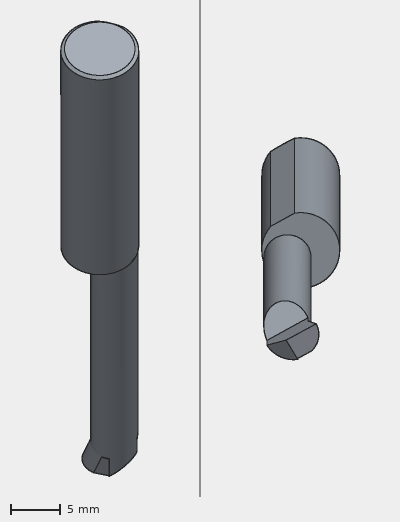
import cadquery as cq
import math

total_length = 63.5
shank_diameter = 7.95
shank_radius = shank_diameter / 2
shank_bottom = 33.0
shank_flat_depth = 0.25
chamfer_width = 0.4
chamfer_height = 0.25

neck_diameter = 4.8
neck_radius = neck_diameter / 2
neck_x = shank_radius - neck_radius

tip_top = 3.05
tip_lean = 0.95
tip_end_x = 1.7
tip_flat_offset = 0.09
rake_runout_top = 6.65
rake_runout_bottom = rake_runout_top - neck_radius

edge_rise = 0.1
relief_rise = 0.25
back_chamfer_top = edge_rise + shank_radius - tip_end_x

overrun = 3.2


def make_shank():
    """Round shank with a chamfered top and a narrow flat on its +Y side."""
    shank = (
        cq.Workplane("XY", origin=(0, 0, shank_bottom))
        .circle(shank_radius)
        .extrude(total_length - shank_bottom)
        .faces(">Z")
        .chamfer(chamfer_height, chamfer_width)
    )
    flat_cutter = (
        cq.Workplane("XY", origin=(0, shank_radius - shank_flat_depth, shank_bottom))
        .rect(shank_diameter, shank_diameter, centered=(True, False))
        .extrude(total_length - shank_bottom)
    )
    return shank.cut(flat_cutter)


def make_neck():
    """Round neck, halved at the tip with a 45 degree runout to the rake face."""
    neck = cq.Workplane("XY", origin=(neck_x, 0, 0)).circle(neck_radius).extrude(shank_bottom)
    rake_cutter = (
        cq.Workplane("YZ")
        .moveTo(0, -overrun)
        .lineTo(0, rake_runout_bottom)
        .lineTo(neck_radius + overrun, rake_runout_top + overrun)
        .lineTo(neck_radius + overrun, -overrun)
        .close()
        .extrude(shank_diameter, both=True)
    )
    tip_space = (
        cq.Workplane("XY")
        .rect(2 * tip_end_x, shank_diameter)
        .extrude(tip_top)
    )
    return neck.cut(rake_cutter).cut(tip_space)


def make_tip():
    """Neck-shaped half profile with a -Y flat, leaning towards -X as it descends."""
    flat_y = tip_flat_offset - neck_radius
    arc_end_angle = math.asin(flat_y / neck_radius)
    arc_end_x = neck_x - neck_radius * math.cos(arc_end_angle)
    arc_mid_angle = arc_end_angle / 2
    arc_mid = (
        neck_x - neck_radius * math.cos(arc_mid_angle),
        neck_radius * math.sin(arc_mid_angle),
    )
    profile = (
        cq.Workplane("XY", origin=(0, 0, tip_top))
        .moveTo(neck_x - neck_radius, 0)
        .threePointArc(arc_mid, (arc_end_x, flat_y))
        .lineTo(tip_end_x + tip_lean, flat_y)
        .lineTo(tip_end_x + tip_lean, 0)
        .close()
        .wire()
        .val()
    )
    lean = cq.Vector(-tip_lean, 0, -tip_top)
    leaning = cq.Workplane(cq.Solid.extrudeLinear(profile, [], lean))
    end_cutter = (
        cq.Workplane("XY", origin=(tip_end_x, 0, 0))
        .rect(shank_diameter, shank_diameter, centered=(False, True))
        .extrude(tip_top)
    )
    return leaning.cut(end_cutter)


def make_underside_cutter():
    """Space below the bottom edge and back relief, swept to -Y and upwards."""
    tip_x = neck_x - neck_radius - tip_lean
    outline = (
        cq.Workplane("XZ")
        .moveTo(tip_x, 0)
        .lineTo(tip_end_x, edge_rise)
        .lineTo(shank_radius + overrun, back_chamfer_top + overrun)
        .lineTo(shank_radius + overrun, -overrun)
        .lineTo(tip_x, -overrun)
        .close()
        .wire()
        .val()
    )
    sweep = cq.Vector(0, -neck_radius, relief_rise)
    return cq.Workplane(cq.Solid.extrudeLinear(outline, [], sweep))


result = (
    make_shank()
    .union(make_neck())
    .union(make_tip())
    .cut(make_underside_cutter())
)